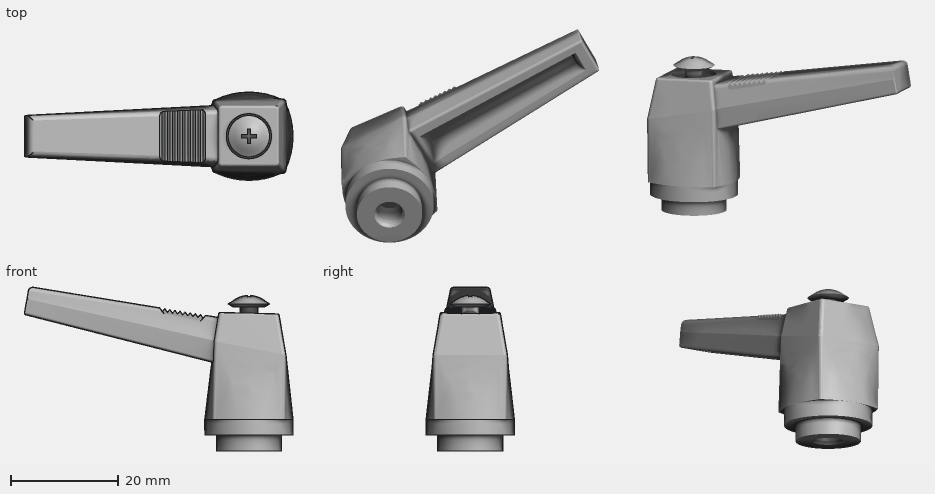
import cadquery as cq
import math


overall_length = 50.15
flange_dia = 16.5
axis_x = overall_length - flange_dia / 2
boss_dia = 12.2
boss_height = 3.0
flange_top = 5.9
bore_dia = 4.9
bore_mouth_dia = 5.7
bore_mouth_depth = 0.6

hub_top_z = 25.75
hub_top_slope = -0.025
hub_top_half = 5.6
hub_draft = 0.17
hub_corner = 0.65
hub_fillet = 0.45
parting_axis_z = 19.25
parting_slope = -0.19
rim_corner_half = 6.8
rim_corner = 0.6

counterbore_dia = 8.4
counterbore_floor = 25.05
neck_dia = 3.3
washer_bottom_dia = 5.7
washer_dia = 7.7
dome_dia = 6.0
washer_bottom_z = 26.9
washer_edge_z = 27.5
dome_base_z = 28.05
dome_top_z = 29.1
cross_length = 2.75
cross_width = 0.6
cross_floor = 27.3

tip_bottom_x = -0.065
tip_lean = 0.18
tip_bottom_z = 25.5
tip_parting_z = 28.4
tip_top_z = 30.75
top_slope = -0.163
side_slope = -0.222
bottom_slope = -0.254
handle_end = 36.1

tip_half_widths = {"bottom": 3.8, "side": 3.9, "top": 3.65}
end_half_widths = {"bottom": 5.35, "side": 5.75, "top": 4.75}
top_fillet = 0.9
tip_fillet = 0.25
bottom_fillet = 0.45
edge_tolerance = 0.01

channel_mouth_start = 1.8
channel_roof_start = 3.85
channel_end = 34.2
channel_overcut = 0.5
channel_start_z = 28.25
channel_end_z = 23.25
channel_start_halves = (2.2, 1.9)
channel_end_halves = (3.25, 2.55)

pad_start = 25.3
pad_end = 33.8
pad_height = 1.6
pad_chamfer = 1.2
pad_start_half = 4.6
pad_end_half = 4.95
groove_count = 9
groove_start = 25.7
groove_pitch = 0.95
groove_depth = 0.6
groove_overrun = 0.5


def tip_x_at(z):
    """Place of the leaning tip face at height z."""
    return tip_bottom_x + tip_lean * (z - tip_bottom_z)


def top_z(x):
    """Height of the handle's top face at x."""
    return tip_top_z + top_slope * (x - tip_x_at(tip_top_z))


def cylinder(dia, bottom, top):
    return cq.Workplane("XY", origin=(axis_x, 0, bottom)).circle(dia / 2).extrude(top - bottom)


def hub_ring(half, corner, height, bulge=0.0):
    """Rounded square around the hub axis; half and height are functions of the local x."""

    def corner_points(sx, sy):
        size = half(sx)
        near = size - corner
        mid = size - corner * (1 - math.sqrt(0.5))
        return [
            cq.Vector(axis_x + sx * dx, sy * dy, height(sx * dx))
            for dx, dy in ((size, near), (mid, mid), (near, size))
        ]

    def side(start, end, outward):
        if bulge == 0:
            return cq.Edge.makeLine(start, end)
        return cq.Edge.makeThreePointArc(start, (start + end) * 0.5 + outward * bulge, end)

    right_back = corner_points(1, 1)
    left_back = corner_points(-1, 1)[::-1]
    left_front = corner_points(-1, -1)
    right_front = corner_points(1, -1)[::-1]
    corners = [right_back, left_back, left_front, right_front]
    outwards = [cq.Vector(0, 1, 0), cq.Vector(-1, 0, 0), cq.Vector(0, -1, 0), cq.Vector(1, 0, 0)]
    edges = []
    for index, points in enumerate(corners):
        following = corners[(index + 1) % 4]
        edges.append(cq.Edge.makeThreePointArc(*points))
        edges.append(side(points[2], following[0], outwards[index]))
    return cq.Wire.assembleEdges(edges)


def hub():
    def top_height(x):
        return hub_top_z + hub_top_slope * x

    def parting_height(x):
        return parting_axis_z + parting_slope * x

    def parting_half(side):
        drop = hub_top_z - parting_height(side * rim_corner_half)
        return hub_top_half + hub_draft * drop

    rim_bulge = flange_dia / 2 - rim_corner_half
    top = hub_ring(lambda side: hub_top_half, hub_corner, top_height)
    parting = hub_ring(parting_half, hub_corner, parting_height)
    rim = hub_ring(lambda side: rim_corner_half, rim_corner, lambda x: flange_top, rim_bulge)
    upper = cq.Workplane(cq.Solid.makeLoft([parting, top], True))
    upper = upper.faces(">Z").edges().fillet(hub_fillet)
    lower = cq.Workplane(cq.Solid.makeLoft([rim, parting], True))
    return upper.union(lower)


def base():
    boss = cylinder(boss_dia, 0, boss_height)
    return boss.union(cylinder(flange_dia, boss_height, flange_top))


def bore():
    mouth = cq.Solid.makeCone(
        bore_mouth_dia / 2, bore_dia / 2, bore_mouth_depth, pnt=cq.Vector(axis_x, 0, 0)
    )
    return cylinder(bore_dia, 0, flange_top).union(cq.Workplane(mouth))


def screw():
    dome_rise = dome_top_z - dome_base_z
    dome_radius = ((dome_dia / 2) ** 2 + dome_rise**2) / (2 * dome_rise)
    mid_r = dome_dia / 4
    mid_z = dome_top_z - dome_radius + math.sqrt(dome_radius**2 - mid_r**2)
    profile = (
        cq.Workplane("XZ", origin=(axis_x, 0, 0))
        .moveTo(0, counterbore_floor)
        .lineTo(neck_dia / 2, counterbore_floor)
        .lineTo(neck_dia / 2, washer_bottom_z)
        .lineTo(washer_bottom_dia / 2, washer_bottom_z)
        .lineTo(washer_dia / 2, washer_edge_z)
        .lineTo(dome_dia / 2, dome_base_z)
        .threePointArc((mid_r, mid_z), (0, dome_top_z))
        .close()
    )
    body = profile.revolve(360, (0, 0, 0), (0, 1, 0))
    cross_plane = cq.Workplane("XY", origin=(axis_x, 0, cross_floor))
    for size in ((cross_length, cross_width), (cross_width, cross_length)):
        body = body.cut(cross_plane.rect(*size).extrude(dome_top_z - cross_floor))
    return body


def handle_section(halves, at_tip):
    """Six-sided cross-section of the handle: leaning at the tip, upright inside the hub."""
    levels = {
        "bottom": (tip_bottom_z, bottom_slope),
        "side": (tip_parting_z, side_slope),
        "top": (tip_top_z, top_slope),
    }
    right = []
    for name, (tip_z, slope) in levels.items():
        tip_x = tip_x_at(tip_z)
        x = tip_x if at_tip else handle_end
        right.append(cq.Vector(x, halves[name], tip_z + slope * (x - tip_x)))
    left = [cq.Vector(p.x, -p.y, p.z) for p in reversed(right)]
    return cq.Wire.makePolygon(right + left, close=True)


def handle():
    tip = handle_section(tip_half_widths, True)
    end = handle_section(end_half_widths, False)
    body = cq.Workplane(cq.Solid.makeLoft([tip, end], True))

    def lies_along(tip_z, slope):
        """Test for the edges of the sloping face that starts at tip_z, leaving out its hub end."""
        tip_x = tip_x_at(tip_z)

        def test(edge):
            center = edge.Center()
            gap = center.z - tip_z - slope * (center.x - tip_x)
            return abs(gap) < edge_tolerance and center.x < handle_end - edge_tolerance

        return test

    body = body.edges().filter(lies_along(tip_top_z, top_slope)).fillet(top_fillet)
    body = body.edges().filter(lies_along(tip_bottom_z, bottom_slope)).fillet(bottom_fillet)
    return body.faces("<X").edges().fillet(tip_fillet)


def channel():
    def section(floor_x, roof_x, roof_z, halves):
        floor_half, roof_half = halves
        floor_z = tip_bottom_z + bottom_slope * floor_x - channel_overcut
        points = [
            (floor_x, floor_half, floor_z),
            (roof_x, roof_half, roof_z),
            (roof_x, -roof_half, roof_z),
            (floor_x, -floor_half, floor_z),
        ]
        return cq.Wire.makePolygon([cq.Vector(*point) for point in points], close=True)

    start = section(channel_mouth_start, channel_roof_start, channel_start_z, channel_start_halves)
    end = section(channel_end, channel_end, channel_end_z, channel_end_halves)
    return cq.Workplane(cq.Solid.makeLoft([start, end], True))


def grip_pad():
    low_start = pad_start + pad_chamfer
    low_end = pad_end - pad_chamfer
    profile = (
        cq.Workplane("XZ")
        .moveTo(pad_start, top_z(pad_start))
        .lineTo(pad_end, top_z(pad_end))
        .lineTo(low_end, top_z(low_end) - pad_height)
        .lineTo(low_start, top_z(low_start) - pad_height)
        .close()
        .extrude(pad_end_half, both=True)
    )
    plan = [
        (pad_start, -pad_start_half),
        (pad_end, -pad_end_half),
        (pad_end, pad_end_half),
        (pad_start, pad_start_half),
    ]
    return profile.intersect(cq.Workplane("XY").polyline(plan).close().extrude(tip_top_z))


def grip_grooves():
    grooves = cq.Workplane("XZ")
    half = groove_pitch / 2
    for index in range(groove_count):
        x = groove_start + index * groove_pitch
        outline = [(x - half, top_z(x - half)), (x, top_z(x) - groove_depth), (x + half, top_z(x + half))]
        grooves = grooves.polyline(outline).close()
    return grooves.extrude(pad_end_half + groove_overrun, both=True)


lever = handle().cut(channel()).union(grip_pad()).cut(grip_grooves())
counterbore = cylinder(counterbore_dia, counterbore_floor, dome_top_z)
result = base().union(hub()).union(lever).cut(counterbore).union(screw()).cut(bore())